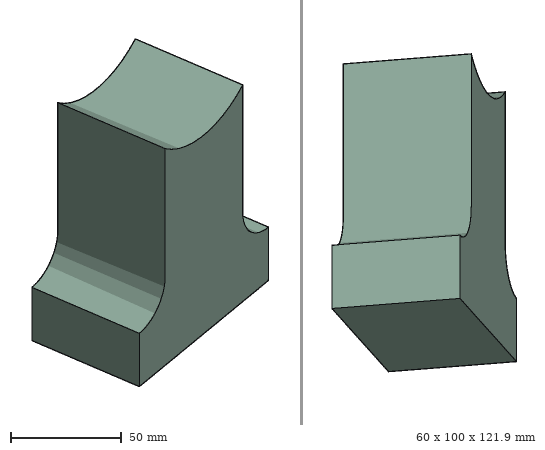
import cadquery as cq

length = 60.0
base_width = 100.0
total_height = 121.9
base_height = 30.0
flank_radius = 20.0
saddle_depth = 10.2

half_base = base_width / 2
half_column = half_base - flank_radius
flank_top = base_height + flank_radius


def flank_center(side):
    """Fillet axis (Y, Z) above the base edge; side is +1 or -1."""
    return side * half_base, flank_top


def cylinder_along_x(center, radius):
    return (
        cq.Workplane("YZ", origin=(-length / 2, 0, 0))
        .center(*center)
        .circle(radius)
        .extrude(length)
    )


base = cq.Workplane("XY").box(length, base_width, flank_top, centered=(True, True, False))
column = cq.Workplane("XY").box(length, 2 * half_column, total_height, centered=(True, True, False))
result = base.union(column)

for side in (-1, 1):
    result = result.cut(cylinder_along_x(flank_center(side), flank_radius))

saddle_radius = (half_column**2 + saddle_depth**2) / (2 * saddle_depth)
saddle_center = (0, total_height - saddle_depth + saddle_radius)
result = result.cut(cylinder_along_x(saddle_center, saddle_radius))